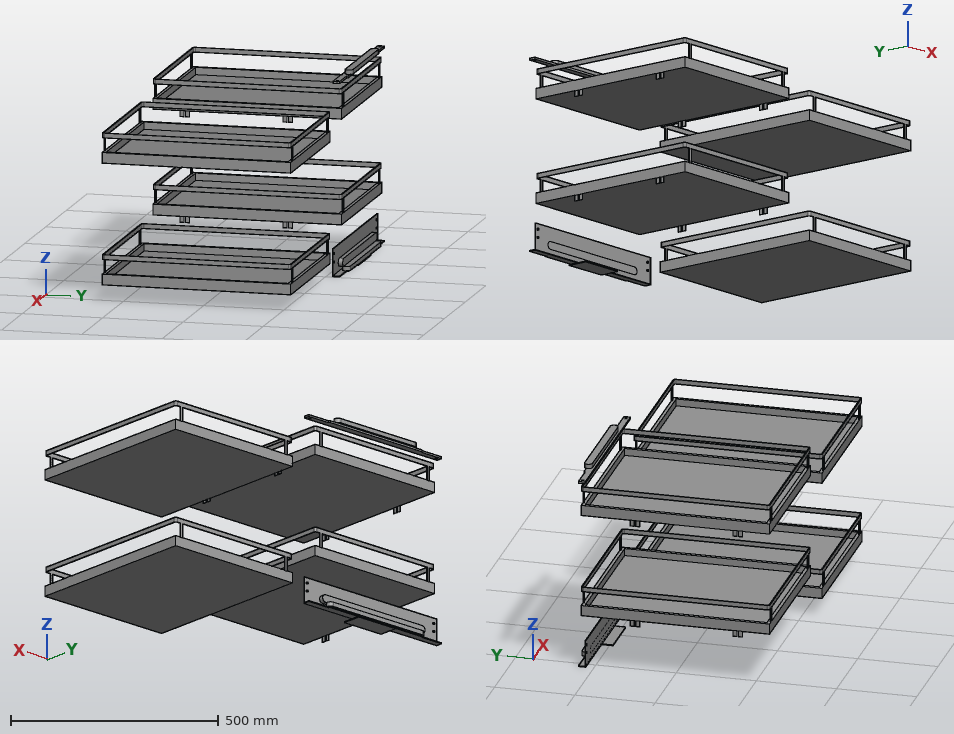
import cadquery as cq

tray_depth = 470.0
tray_height = 26.5
wall = 8.5
floor_thickness = 8.5
guard_top = 74.0
guard_height = 12.0
guard_thickness = 2.5
guard_corner_radius = 6.0
post_width = 8.0
post_inset = 16.0

left_tray_width = 389.0
left_tray_x = 22.0
left_tray_y = 12.0
left_tray_levels = (126.0, 387.0)
hook_drop = 14.5
hook_thickness = 2.0
hook_prong_width = 10.0
hook_pair_width = 24.0
hook_pair_starts = (67.5, 324.0)

overall_width = 854.0
right_tray_width = 380.0
right_tray_x = overall_width - right_tray_width
right_tray_y = 0.0
right_tray_levels = (43.5, 343.0)

overall_depth = 492.0
overall_height = 495.0
strip_length = 432.0
strip_front_y = 466.0
strip_end_width = 16.0
strip_bulge = 3.0
bulge_length = 304.0
screw_hole_diameter = 5.0
screw_hole_inset = 10.0

block_width = 20.0
block_height = 11.0
block_y = overall_depth - block_width / 2
strip_center_x = strip_length / 2

upper_strip_thickness = 5.0
upper_strip_z = overall_height - block_height - upper_strip_thickness
upper_block_length = 261.0

lower_strip_thickness = 2.5
foot_thickness = 2.5
foot_length = 119.5
foot_front_y = 437.0
foot_depth = 52.0
plate_thickness = 2.05
plate_height = 68.0
plate_hole_heights = (37.0, 57.0)
lower_block_length = 310.0
pad_length = 333.0
pad_width = 20.0
pad_depth = 11.0
pad_z = 26.5


def box(x, y, z, length, depth, height):
    """Box from its low corner and its three sizes."""
    return cq.Workplane("XY").box(length, depth, height, centered=False).translate((x, y, z))


def tray(x, y, z, width):
    """Open tray with its posts and guard rail, from its low corner."""
    shell = box(0, 0, 0, width, tray_depth, tray_height).cut(
        box(wall, wall, floor_thickness, width - 2 * wall, tray_depth - 2 * wall, tray_height)
    )

    guard_z = guard_top - guard_height
    guard = box(0, 0, guard_z, width, tray_depth, guard_height).edges("|Z").fillet(guard_corner_radius)
    opening = (
        box(
            guard_thickness,
            guard_thickness,
            guard_z,
            width - 2 * guard_thickness,
            tray_depth - 2 * guard_thickness,
            guard_height,
        )
        .edges("|Z")
        .fillet(guard_corner_radius - guard_thickness)
    )
    body = shell.union(guard.cut(opening))

    for post_x in (post_inset, width - post_inset - post_width):
        for post_y in (0, tray_depth - guard_thickness):
            body = body.union(
                box(post_x, post_y, tray_height, post_width, guard_thickness, guard_z - tray_height)
            )
    return body.translate((x, y, z))


def hooked_tray(x, y, z, width):
    """Tray with two pairs of hook prongs below each side."""
    body = tray(x, y, z, width)
    for hook_x in (x, x + width - hook_thickness):
        for pair_start in hook_pair_starts:
            for prong_start in (pair_start, pair_start + hook_pair_width - hook_prong_width):
                prong_y = y + prong_start
                body = body.union(
                    box(hook_x, prong_y, z - hook_drop, hook_thickness, hook_prong_width, hook_drop)
                )
    return body


def strip(z, thickness):
    """Flat strip whose back edge steps out along the middle, with 45 degree step ends."""
    end_y = strip_front_y + strip_end_width
    bulge_y = end_y + strip_bulge
    half_crest = bulge_length / 2 - strip_bulge
    half_base = bulge_length / 2
    return (
        cq.Workplane("XY")
        .workplane(offset=z)
        .polyline(
            [
                (0, strip_front_y),
                (strip_length, strip_front_y),
                (strip_length, end_y),
                (strip_center_x + half_base, end_y),
                (strip_center_x + half_crest, bulge_y),
                (strip_center_x - half_crest, bulge_y),
                (strip_center_x - half_base, end_y),
                (0, end_y),
            ]
        )
        .close()
        .extrude(thickness)
    )


def block(z, length):
    """Upright block with half-round ends, standing on a strip."""
    return (
        cq.Workplane("XY", origin=(strip_center_x, block_y, z))
        .slot2D(length, block_width)
        .extrude(block_height)
    )


def upper_rail():
    """Strip with a screw hole at each end and a rounded block on top."""
    hole_y = strip_front_y + strip_end_width / 2
    holes = (
        cq.Workplane("XY", origin=(0, hole_y, upper_strip_z))
        .pushPoints([(screw_hole_inset, 0), (strip_length - screw_hole_inset, 0)])
        .circle(screw_hole_diameter / 2)
        .extrude(upper_strip_thickness)
    )
    top = upper_strip_z + upper_strip_thickness
    return strip(upper_strip_z, upper_strip_thickness).cut(holes).union(block(top, upper_block_length))


def lower_bracket():
    """Angle bracket with a foot under it, a rounded block on it and a rounded pad behind its plate."""
    plate_y = strip_front_y - plate_thickness
    plate = box(0, plate_y, foot_thickness, strip_length, plate_thickness, plate_height)
    holes = (
        cq.Workplane("XZ", origin=(0, strip_front_y, 0))
        .pushPoints(
            [
                (x, z)
                for x in (screw_hole_inset, strip_length - screw_hole_inset)
                for z in plate_hole_heights
            ]
        )
        .circle(screw_hole_diameter / 2)
        .extrude(plate_thickness)
    )
    pad = (
        cq.Workplane("XZ", origin=(strip_center_x, strip_front_y, pad_z))
        .slot2D(pad_length, pad_width)
        .extrude(-pad_depth)
    )
    foot = box(strip_center_x - foot_length / 2, foot_front_y, 0, foot_length, foot_depth, foot_thickness)
    block_z = foot_thickness + lower_strip_thickness
    return (
        plate.cut(holes)
        .union(pad)
        .union(strip(foot_thickness, lower_strip_thickness))
        .union(foot)
        .union(block(block_z, lower_block_length))
    )


left_trays = [hooked_tray(left_tray_x, left_tray_y, z, left_tray_width) for z in left_tray_levels]
right_trays = [tray(right_tray_x, right_tray_y, z, right_tray_width) for z in right_tray_levels]
rail = upper_rail()
bracket = lower_bracket()

result = cq.Compound.makeCompound(
    [body.val() for body in left_trays + right_trays] + [rail.val(), bracket.val()]
)